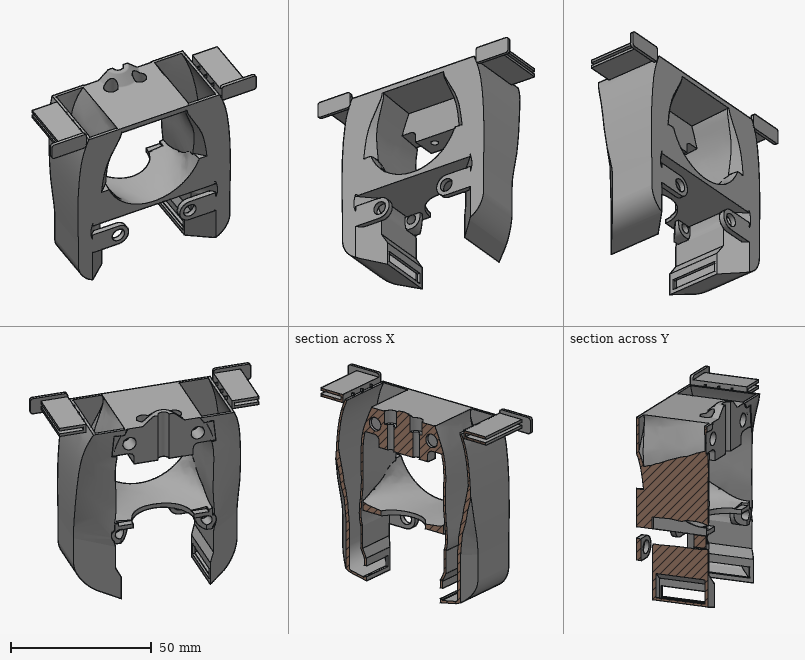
import cadquery as cq
import math


WALL = 1.1
LEG_INNER_Y = 18.3
LEG_OUTER_Y = 30.6
FRONT_INNER_X = -28.4
FRONT_OUTER_X = -17.9
FRONT_SLOPE = (FRONT_OUTER_X - FRONT_INNER_X) / (LEG_OUTER_Y - LEG_INNER_Y)
REAR_CHAMFER = 6.6
INLET_FRONT_X = -27.7
INLET_INNER_Y = 13.4
INLET_OUTER_Y = 26.4
STRAIGHT_TOP_Z = -46.7

SHARP_CUT = 0.1

LEG_STATIONS = [
    (0.0, (INLET_FRONT_X, INLET_INNER_Y), (INLET_FRONT_X, INLET_OUTER_Y), INLET_INNER_Y),
    (-7.2, (FRONT_INNER_X, 16.9), (-25.2, 28.9), 14.35),
    (-13.85, (FRONT_INNER_X, LEG_INNER_Y), (-23.4, 29.9), 16.8),
    (-22.7, (FRONT_INNER_X, LEG_INNER_Y), (-21.9, 30.6), 17.65),
    (-33.6, (FRONT_INNER_X, LEG_INNER_Y), (-20.05, 30.85), 18.1),
    (STRAIGHT_TOP_Z, (FRONT_INNER_X, LEG_INNER_Y), (FRONT_OUTER_X, LEG_OUTER_Y), LEG_INNER_Y),
]

NOZZLE_INNER_Y = 16.7
NOZZLE_STEP_TOP_Z = -55.2
NOZZLE_STEP_LOW_Z = -58.6
NOZZLE_TIP_Z = -67.4
HEEL_TOP_Z = -57.1
HEEL_MID = (28.2, -63.1)
HEEL_END = (23.9, -66.0)
OUTLET_X = (-28.2, -9.3)
OUTLET_Z = (-65.7, -61.6)

BRACKET_X = -27.4
BRACKET_DEPTH = 9.9
SEAT_DEPTH = 4.1
BRACKET_BOTTOM_Z = -14.7
BRACKET_NOTCH = (11.05, -10.15)
BRACKET_OUTLINE = [
    (0, 0),
    (13.5, 0),
    (14.9, -2.1),
    (18.6, -2.1),
    (19.5, BRACKET_NOTCH[1]),
    BRACKET_NOTCH,
    (BRACKET_NOTCH[0], BRACKET_BOTTOM_Z),
    (0, BRACKET_BOTTOM_Z),
]
BRACKET_FILLET = 2.1
BRACKET_HOLE_R = 2.5
BRACKET_HOLE_Y = 12.8
BRACKET_HOLE_Z = -6.1
BRACKET_HOLE_DEPTH = 6.6
DECK_THICKNESS = 2.1

HUB_BASE_R = 7.8
HUB_TOP_R = 3.9
HUB_FILLET = 1.0
HUB_HEIGHT = 3.5
HUB_BORE_R = 2.1
SCREW_X = -21.85
SCREW_Y = 5.8
SCREW_R = 1.4
SCREW_SEAT_R = 2.55
SCREW_SEAT_Z = -4.95

SHELF_TOP_Z = -39.0
SHELF_BOTTOM_Z = -40.7
SHELF_RISE_Z = -26.4
FAN_R = 19.55
FAN_Z = -19.3
CHANNEL_HALF_WIDTH = 18.5
CHANNEL_CORNERS = [(-15.7, -33.3), (-21.45, -36.5), (FRONT_INNER_X, -37.1)]
LEDGE_DEPTH = 2.5
LEDGE_HALF_WIDTH = 16.9
THROAT_R = 11.4

BOSS_Y = 16.3
BOSS_Z = -42.4
BOSS_R = 3.7
BOSS_SEAT_R = 3.3
BOSS_HOLE_R = 1.8
BOSS_DEPTH = 4.95
BOSS_SLOPE_Y = 16.0
LUG_Y = 14.4
LUG_Z = -48.9
LUG_R = 4.1
LUG_HOLE_R = 2.5
LUG_THICKNESS = 2.0

GATE_Y = 27.3
GATE_LENGTH = 21.0
GATE_WIDTH = 10.1
GATE_THICKNESS = 3.3
GATE_SLOT = 1.15
GATE_WEB = 1.0
FLANGE_THICKNESS = 1.15
FLANGE_OUTER_Y = 41.2
FLANGE_HEIGHT = 6.2
FLANGE_CORNER_R = 1.0
NUB_X = [-16.6, -11.4, -6.1]
NUB_SIZE = 0.5
NUB_HEIGHT = 1.15


def both_sides(body):
    """Join a body on the +Y side with its mirror image."""
    return body.union(body.mirror("XZ"))


def x_cylinder(radius, y, z, x_start, length):
    """A cylinder along +X."""
    return cq.Workplane("YZ", origin=(x_start, y, z)).circle(radius).extrude(length)


def block(x, y, z):
    """A box given by its (low, high) limits on each axis."""
    size = (x[1] - x[0], y[1] - y[0], z[1] - z[0])
    return cq.Workplane("XY").box(*size, centered=False).translate((x[0], y[0], z[0]))


def leg_plan(front_inner, front_outer, rear_inner_y, chamfer, inset):
    """Plan outline of a leg, moved inwards by `inset` on every wall."""
    inner_x, inner_y = front_inner
    outer_x, outer_y = front_outer
    slope = (outer_x - inner_x) / (outer_y - inner_y)
    front_inset = inset * math.hypot(1, slope)
    rear_y = rear_inner_y + inset
    cut = max(chamfer - inset * (2 - math.sqrt(2)), SHARP_CUT)
    return [
        (inner_x + slope * inset + front_inset, inner_y + inset),
        (outer_x - slope * inset + front_inset, outer_y - inset),
        (-inset, outer_y - inset),
        (-inset, rear_y + cut),
        (-inset - cut, rear_y),
    ]


def straight_plan(inset):
    """Plan outline of the straight lower leg."""
    _, front_inner, front_outer, rear_inner_y = LEG_STATIONS[-1]
    return leg_plan(front_inner, front_outer, rear_inner_y, REAR_CHAMFER, inset)


def upper_leg(inset):
    """Twisting part of the leg, lofted down from the rectangular inlet."""
    wires = []
    for z, front_inner, front_outer, rear_inner_y in LEG_STATIONS:
        chamfer = REAR_CHAMFER * z / STRAIGHT_TOP_Z
        plan = leg_plan(front_inner, front_outer, rear_inner_y, chamfer, inset)
        wires.append(cq.Wire.makePolygon([cq.Vector(x, y, z) for x, y in plan], close=True))
    return cq.Workplane(obj=cq.Solid.makeLoft(wires))


def lower_leg(inset):
    """Straight part of the leg with the nozzle: a side profile trimmed to the plan of the leg."""
    profile = (
        cq.Workplane("YZ", origin=(FRONT_INNER_X * 2, 0, 0))
        .moveTo(LEG_INNER_Y, STRAIGHT_TOP_Z)
        .lineTo(LEG_OUTER_Y, STRAIGHT_TOP_Z)
        .lineTo(LEG_OUTER_Y, HEEL_TOP_Z)
        .threePointArc(HEEL_MID, HEEL_END)
        .lineTo(NOZZLE_INNER_Y, NOZZLE_TIP_Z)
        .lineTo(NOZZLE_INNER_Y, NOZZLE_STEP_LOW_Z)
        .lineTo(LEG_INNER_Y, NOZZLE_STEP_TOP_Z)
        .close()
    )
    if inset:
        profile = profile.offset2D(-inset, "intersection")
    nozzle_depth = LEG_INNER_Y - NOZZLE_INNER_Y
    plan = straight_plan(inset)
    plan[0] = (plan[0][0] - FRONT_SLOPE * nozzle_depth, plan[0][1] - nozzle_depth)
    plan[4] = (plan[4][0] - nozzle_depth, plan[4][1] - nozzle_depth)
    column = cq.Workplane("XY").polyline(plan).close().extrude(NOZZLE_TIP_Z)
    return profile.extrude(-FRONT_INNER_X * 2).intersect(column)


def leg_cavity():
    """Air passage from the inlet to the outlet slot."""
    joint_plane = cq.Workplane("XY", origin=(0, 0, STRAIGHT_TOP_Z - WALL))
    joint = joint_plane.polyline(straight_plan(WALL)).close().extrude(WALL)
    outlet = block(OUTLET_X, (NOZZLE_INNER_Y, NOZZLE_INNER_Y + WALL), OUTLET_Z)
    return upper_leg(WALL).union(joint).union(lower_leg(WALL)).union(outlet)


def bracket_profile(depth, x_start):
    """Half bracket profile extruded along +X."""
    return cq.Workplane("YZ", origin=(x_start, 0, 0)).polyline(BRACKET_OUTLINE).close().extrude(depth)


def bracket():
    """Mounting block under the front of the deck, with the deck behind it."""
    half = bracket_profile(BRACKET_DEPTH, BRACKET_X)
    corner = cq.selectors.NearestToPointSelector((BRACKET_X + BRACKET_DEPTH / 2, *BRACKET_NOTCH))
    half = half.edges("|X").edges(corner).fillet(BRACKET_FILLET)
    deck = block((BRACKET_X, 0), (0, INLET_INNER_Y + WALL), (-DECK_THICKNESS, 0))
    return both_sides(half.union(deck))


def hub():
    """Half cone standing on the front edge of the deck."""
    cone = cq.Solid.makeCone(HUB_BASE_R, HUB_TOP_R, HUB_HEIGHT, pnt=cq.Vector(BRACKET_X, 0, 0))
    pad_r = HUB_BASE_R + HUB_FILLET
    pad = cq.Solid.makeCylinder(pad_r, DECK_THICKNESS, cq.Vector(BRACKET_X, 0, -DECK_THICKNESS))
    raised = cq.Workplane(obj=pad).union(cq.Workplane(obj=cone))
    foot = cq.selectors.RadiusNthSelector(1)
    raised = raised.edges("%CIRCLE").edges(foot).fillet(HUB_FILLET)
    raised = raised.faces(">Z").edges().fillet(HUB_FILLET)
    behind_front = block((BRACKET_X, 0), (-pad_r, pad_r), (-DECK_THICKNESS, HUB_HEIGHT))
    return raised.intersect(behind_front)


def fan_outline():
    """Lower half of the fan circle at the rear face, split where the ramps begin."""
    def on_circle(degrees):
        angle = math.radians(degrees)
        return cq.Vector(0, FAN_R * math.cos(angle), FAN_Z + FAN_R * math.sin(angle))

    breaks = [-180, -135, -45, 0]
    edges = [
        cq.Edge.makeThreePointArc(on_circle(a), on_circle((a + b) / 2), on_circle(b))
        for a, b in zip(breaks, breaks[1:])
    ]
    edges.append(cq.Edge.makeLine(on_circle(0), on_circle(-180)))
    return cq.Wire.assembleEdges(edges)


def channel_outline(x, corner_z):
    """Channel section with flat sides and a gently curved floor."""
    pole_z = corner_z + (SHELF_TOP_Z - corner_z) * 4 / 3
    left, right = -CHANNEL_HALF_WIDTH, CHANNEL_HALF_WIDTH
    section = (
        cq.Workplane("YZ", origin=(x, 0, 0))
        .moveTo(left, FAN_Z)
        .lineTo(left, corner_z)
        .bezier([(left, corner_z), (left, pole_z), (right, pole_z), (right, corner_z)])
        .lineTo(right, FAN_Z)
        .close()
    )
    return section.val()


def shelf():
    """Floor between the legs, rising in ramps to the fan opening at the rear."""
    plan = [
        (BRACKET_X, 0),
        (BRACKET_X, LEG_INNER_Y),
        (-REAR_CHAMFER, LEG_INNER_Y),
        (0, LEG_INNER_Y + REAR_CHAMFER),
        (0, 0),
    ]
    half = (
        cq.Workplane("XY", origin=(0, 0, SHELF_BOTTOM_Z)).polyline(plan).close()
        .extrude(SHELF_RISE_Z - SHELF_BOTTOM_Z)
    )
    sections = [fan_outline()] + [channel_outline(x, z) for x, z in CHANNEL_CORNERS]
    channel = cq.Solid.makeLoft(sections)
    throat = (
        cq.Workplane("XY", origin=(BRACKET_X, 0, SHELF_BOTTOM_Z)).circle(THROAT_R)
        .extrude(SHELF_RISE_Z - SHELF_BOTTOM_Z)
    )
    ledge = block(
        (BRACKET_X, BRACKET_X + LEDGE_DEPTH),
        (-LEDGE_HALF_WIDTH, LEDGE_HALF_WIDTH),
        (SHELF_TOP_Z, SHELF_RISE_Z),
    )
    return both_sides(half).cut(cq.Workplane(obj=channel)).cut(ledge).cut(throat)


def boss():
    """Screw boss tied to the leg and the shelf, its face sloping back towards the middle."""
    rear_x = BRACKET_X + BOSS_DEPTH
    eye = x_cylinder(BOSS_R, BOSS_Y, BOSS_Z, BRACKET_X, BOSS_DEPTH)
    leg_tie = block((BRACKET_X, rear_x), (BOSS_Y, LEG_INNER_Y), (BOSS_Z - BOSS_R, SHELF_BOTTOM_Z))
    shelf_tie = block((BRACKET_X, rear_x), (BOSS_Y - BOSS_R, BOSS_Y), (BOSS_Z, SHELF_BOTTOM_Z))
    wall_y = LEG_INNER_Y + WALL
    plan = [
        (BRACKET_X, BOSS_SLOPE_Y),
        (rear_x, BOSS_SLOPE_Y - BOSS_DEPTH),
        (rear_x, wall_y),
        (BRACKET_X, wall_y),
    ]
    envelope = (
        cq.Workplane("XY", origin=(0, 0, BOSS_Z - BOSS_R)).polyline(plan).close()
        .extrude(SHELF_BOTTOM_Z - BOSS_Z + BOSS_R)
    )
    return eye.union(leg_tie).union(shelf_tie).intersect(envelope)


def rear_lug():
    """Eyelet at the rear, tied to the chamfered inner corner of the leg."""
    tie_end = LEG_INNER_Y + REAR_CHAMFER
    eye = x_cylinder(LUG_R, LUG_Y, LUG_Z, -LUG_THICKNESS, LUG_THICKNESS)
    tie = block((-LUG_THICKNESS, 0), (LUG_Y, tie_end), (LUG_Z - LUG_R, LUG_Z + LUG_R))
    return eye.union(tie)


def make_duct():
    """Two air legs joined by the deck, bracket and shelf."""
    legs = both_sides(upper_leg(0).union(lower_leg(0)))
    body = legs.union(shelf()).union(bracket()).union(hub())

    seat_x = BRACKET_X - SEAT_DEPTH
    seats = bracket_profile(SEAT_DEPTH, seat_x).union(
        x_cylinder(BOSS_SEAT_R, BOSS_Y, BOSS_Z, seat_x, SEAT_DEPTH)
    )
    body = body.cut(both_sides(seats))

    body = body.union(both_sides(boss())).union(both_sides(rear_lug()))
    body = body.cut(both_sides(leg_cavity()))

    boss_hole = x_cylinder(BOSS_HOLE_R, BOSS_Y, BOSS_Z, BRACKET_X, BOSS_DEPTH)
    lug_hole = x_cylinder(LUG_HOLE_R, LUG_Y, LUG_Z, -LUG_THICKNESS, LUG_THICKNESS)
    bracket_hole = x_cylinder(
        BRACKET_HOLE_R, BRACKET_HOLE_Y, BRACKET_HOLE_Z, BRACKET_X, BRACKET_HOLE_DEPTH
    )
    body = body.cut(both_sides(boss_hole.union(lug_hole).union(bracket_hole)))

    drill = cq.Workplane("XY", origin=(0, 0, BRACKET_BOTTOM_Z))
    drill_length = HUB_HEIGHT - BRACKET_BOTTOM_Z
    screws = [(SCREW_X, SCREW_Y), (SCREW_X, -SCREW_Y)]
    body = body.cut(drill.center(BRACKET_X, 0).circle(HUB_BORE_R).extrude(drill_length))
    body = body.cut(drill.pushPoints(screws).circle(SCREW_R).extrude(drill_length))
    seats = cq.Workplane("XY", origin=(0, 0, SCREW_SEAT_Z)).pushPoints(screws).circle(SCREW_SEAT_R)
    return body.cut(seats.extrude(HUB_HEIGHT - SCREW_SEAT_Z))


def make_gate(side):
    """Slotted side gate with its end flange; side is +1 for +Y and -1 for -Y."""
    half = GATE_THICKNESS / 2
    front_x = -FLANGE_THICKNESS - GATE_LENGTH
    outer_y = GATE_Y + GATE_WIDTH
    gate = block((front_x, -FLANGE_THICKNESS), (GATE_Y, outer_y), (-half, half))
    slot = block(
        (front_x, -FLANGE_THICKNESS),
        (GATE_Y + GATE_WEB, outer_y),
        (-GATE_SLOT / 2, GATE_SLOT / 2),
    )
    flange = block(
        (-FLANGE_THICKNESS, 0),
        (GATE_Y, FLANGE_OUTER_Y),
        (-FLANGE_HEIGHT / 2, FLANGE_HEIGHT / 2),
    ).edges("|X").fillet(FLANGE_CORNER_R)
    gate = gate.cut(slot).union(flange)
    for x in NUB_X:
        nub = block(
            (x - NUB_SIZE / 2, x + NUB_SIZE / 2),
            (INLET_OUTER_Y, GATE_Y),
            (-NUB_HEIGHT / 2, NUB_HEIGHT / 2),
        )
        gate = gate.union(nub)
    return gate if side > 0 else gate.mirror("XZ")


gates = [make_gate(side) for side in (1, -1)]
duct = make_duct()
for gate in gates:
    duct = duct.cut(gate)

result = cq.Compound.makeCompound([duct.val(), *[gate.val() for gate in gates]])